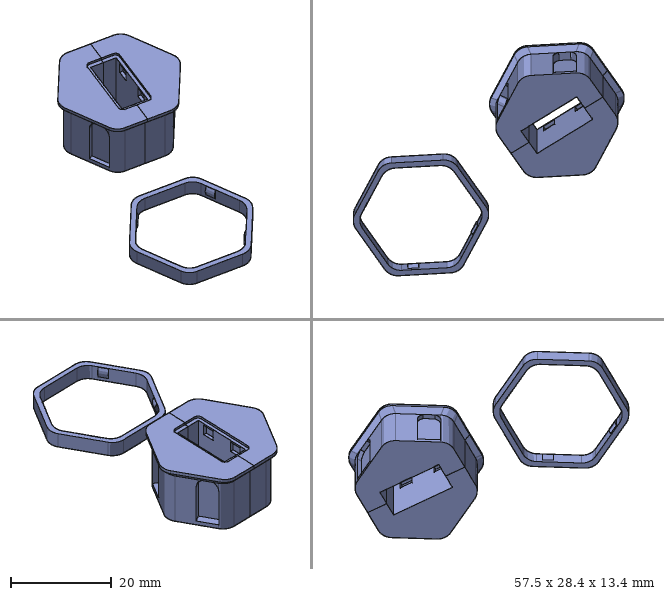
import cadquery as cq
import math

TOTAL_LENGTH = 57.45

CORNER_RADIUS = 3.15
SLANTED_FACE_ANGLES = (60, 120, 240, 300)

FLANGE_APOTHEM = 12.0
BODY_APOTHEM = 10.9
HOUSING_HEIGHT = 13.4
FLANGE_RIM = 0.75
FLANGE_DEPTH = 2.0
BODY_TOP = HOUSING_HEIGHT - FLANGE_DEPTH

OPENING_LENGTH = 13.2
OPENING_WIDTH = 5.75
REBATE_LENGTH = 14.95
REBATE_WIDTH = 7.25
REBATE_DEPTH = 0.5
REBATE_RADIUS = 1.0

POCKET_SPACING = 7.6
POCKET_WIDTH = 2.65
POCKET_HEIGHT = 2.35
POCKET_DEPTH = 0.75
POCKET_INSET = 0.4
POCKET_TOP = HOUSING_HEIGHT - REBATE_DEPTH - POCKET_INSET

RECESS_WIDTH = 4.65
FRONT_RECESS_DEPTH = 0.9
BACK_RECESS_DEPTH = 1.65
RECESS_BOTTOM = 1.0
RECESS_ARCH_Z = 9.35
RECESS_OFFSET = 2.2

RING_OUTER_APOTHEM = 12.05
RING_INNER_APOTHEM = BODY_APOTHEM
RING_HEIGHT = 3.35
RING_X = TOTAL_LENGTH - FLANGE_APOTHEM - RING_OUTER_APOTHEM
RING_Y = -1.65

BUMP_LENGTH = 2.2
BUMP_PROTRUSION = 0.35
BUMP_HEIGHT = 2.4
BUMP_Z = 2.0


def hexagon_prism(apothem, height):
    """Hexagonal prism with rounded corners, standing on Z = 0."""
    diameter = 2 * apothem / math.cos(math.pi / 6)
    prism = cq.Workplane("XY").transformed(rotate=(0, 0, 30)).polygon(6, diameter).extrude(height)
    return prism.edges("|Z").fillet(CORNER_RADIUS)


def hexagon_wire(apothem, z):
    """Outline of the rounded hexagon at height z."""
    return hexagon_prism(apothem, HOUSING_HEIGHT).translate((0, 0, z)).faces("<Z").wires().val()


def flange():
    """Straight rim above a taper that widens from the body."""
    rim_bottom = HOUSING_HEIGHT - FLANGE_RIM
    rim = hexagon_prism(FLANGE_APOTHEM, FLANGE_RIM).translate((0, 0, rim_bottom))
    wires = [hexagon_wire(BODY_APOTHEM, BODY_TOP), hexagon_wire(FLANGE_APOTHEM, rim_bottom)]
    return rim.union(cq.Workplane(cq.Solid.makeLoft(wires, True)))


def on_slanted_face(shape, angle, apothem):
    """Move a shape built at the origin, with +X outward, onto a slanted face near its X flat."""
    toward_flat = 1 if angle in (120, 300) else -1
    along = toward_flat * RECESS_OFFSET
    return shape.translate((apothem, along, 0)).rotate((0, 0, 0), (0, 0, 1), angle)


def recess(depth):
    """Arched cutter reaching the given depth inward and outward of the face."""
    half = RECESS_WIDTH / 2
    return (
        cq.Workplane("YZ")
        .moveTo(-half, RECESS_BOTTOM)
        .lineTo(half, RECESS_BOTTOM)
        .lineTo(half, RECESS_ARCH_Z)
        .threePointArc((0, RECESS_ARCH_Z + half), (-half, RECESS_ARCH_Z))
        .close()
        .extrude(depth, both=True)
    )


def plug_opening():
    """Through opening with its top rebate and the latch pockets in its long walls."""
    opening = cq.Workplane("XY").rect(OPENING_LENGTH, OPENING_WIDTH).extrude(HOUSING_HEIGHT)
    rebate = (
        cq.Workplane("XY", origin=(0, 0, HOUSING_HEIGHT - REBATE_DEPTH))
        .rect(REBATE_LENGTH, REBATE_WIDTH)
        .extrude(REBATE_DEPTH)
        .edges("|Z")
        .fillet(REBATE_RADIUS)
    )
    pockets = (
        cq.Workplane("XY", origin=(0, 0, POCKET_TOP))
        .pushPoints([(-POCKET_SPACING / 2, 0), (POCKET_SPACING / 2, 0)])
        .rect(POCKET_WIDTH, OPENING_WIDTH + 2 * POCKET_DEPTH)
        .extrude(-POCKET_HEIGHT)
    )
    return opening.union(rebate).union(pockets)


def housing():
    """Both housing halves together, before the split."""
    body = hexagon_prism(BODY_APOTHEM, BODY_TOP)
    for angle in SLANTED_FACE_ANGLES:
        depth = BACK_RECESS_DEPTH if angle < 180 else FRONT_RECESS_DEPTH
        body = body.cut(on_slanted_face(recess(depth), angle, BODY_APOTHEM))
    return body.union(flange()).cut(plug_opening())


def housing_half(side):
    """Half of the housing on the +Y side (1) or the -Y side (-1)."""
    size = 4 * FLANGE_APOTHEM
    half_space = cq.Workplane("XY").box(size, size, size).translate((0, side * size / 2, 0))
    return housing().intersect(half_space)


def bump():
    """Rounded bump pointing toward -X, with a root buried in the ring wall."""
    root = (RING_OUTER_APOTHEM - RING_INNER_APOTHEM) / 2
    half = BUMP_HEIGHT / 2
    return (
        cq.Workplane("XZ")
        .moveTo(root, BUMP_Z - half)
        .lineTo(0, BUMP_Z - half)
        .threePointArc((-BUMP_PROTRUSION, BUMP_Z), (0, BUMP_Z + half))
        .lineTo(root, BUMP_Z + half)
        .close()
        .extrude(BUMP_LENGTH / 2, both=True)
    )


def locking_ring():
    """Hexagonal ring standing beside the housing, with its bumps."""
    ring = hexagon_prism(RING_OUTER_APOTHEM, RING_HEIGHT)
    ring = ring.cut(hexagon_prism(RING_INNER_APOTHEM, RING_HEIGHT))
    for angle in SLANTED_FACE_ANGLES:
        ring = ring.union(on_slanted_face(bump(), angle, RING_INNER_APOTHEM))
    return ring.translate((RING_X, RING_Y, 0))


housing_halves = [housing_half(side) for side in (1, -1)]
bodies = [*housing_halves, locking_ring()]
result = cq.Compound.makeCompound([body.solids().val() for body in bodies])